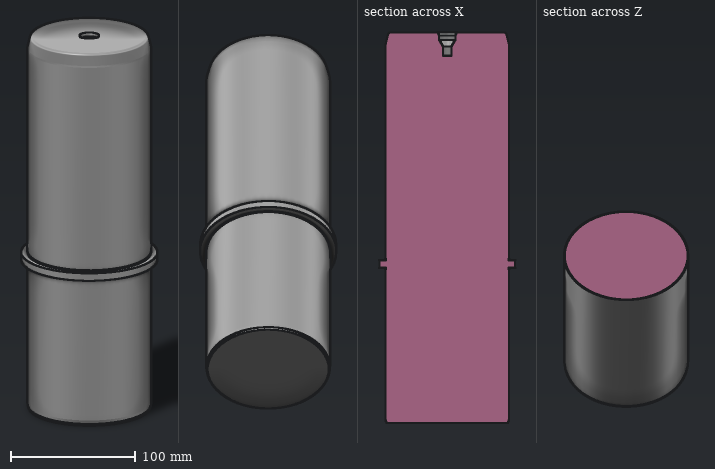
import cadquery as cq
import math

length = 315.0
body_radius = 100.2 / 2
collar_radius = 110.0 / 2

collar_bottom = 125.0
collar_thickness = 6.3
relief_width = 1.0
relief_depth = 0.3

foot_height = 4.7
foot_taper = 0.3
foot_chamfer_width = 1.0
foot_chamfer_height = 2.0

lead_height = 10.5
lead_top_radius = 47.5
lead_blend_radius = 6.3
rim_fillet = 2.5

countersink_radius = 8.0
countersink_depth = 2.8
bore_radius = 6.3
bore_length = 3.5
pilot_radius = 3.0
pilot_depth = 19.0
cone_half_angle = 30.0
cone_depth = (bore_radius - pilot_radius) / math.tan(math.radians(cone_half_angle))


def revolve_profile(points):
    """Revolve a closed (radius, height) outline about the Z axis."""
    return cq.Workplane("XZ").polyline(points).close().revolve(360, (0, 0), (0, 1))


def edges_at(height):
    """Select the circular edges whose centres lie at the given height."""
    margin = 0.03
    return cq.selectors.BoxSelector(
        (-margin, -margin, height - margin), (margin, margin, height + margin)
    )


collar_top = collar_bottom + collar_thickness
lead_bottom = length - lead_height
relief_radius = body_radius - relief_depth
foot_radius = body_radius - foot_taper
body = revolve_profile([
    (0, 0),
    (foot_radius - foot_chamfer_width, 0),
    (foot_radius, foot_chamfer_height),
    (body_radius, foot_height),
    (body_radius, collar_bottom - relief_width),
    (relief_radius, collar_bottom - relief_width),
    (relief_radius, collar_bottom),
    (collar_radius, collar_bottom),
    (collar_radius, collar_top),
    (relief_radius, collar_top),
    (relief_radius, collar_top + relief_width),
    (body_radius, collar_top + relief_width),
    (body_radius, lead_bottom),
    (lead_top_radius, length),
    (0, length),
])

body = body.faces(">Z").edges().fillet(rim_fillet)
body = body.edges(edges_at(lead_bottom)).fillet(lead_blend_radius)

bore_top = length - countersink_depth
cone_top = bore_top - bore_length
cone_bottom = cone_top - cone_depth
centre_hole = revolve_profile([
    (0, length),
    (countersink_radius, length),
    (bore_radius, bore_top),
    (bore_radius, cone_top),
    (pilot_radius, cone_bottom),
    (pilot_radius, length - pilot_depth),
    (0, length - pilot_depth),
])

result = body.cut(centre_hole)